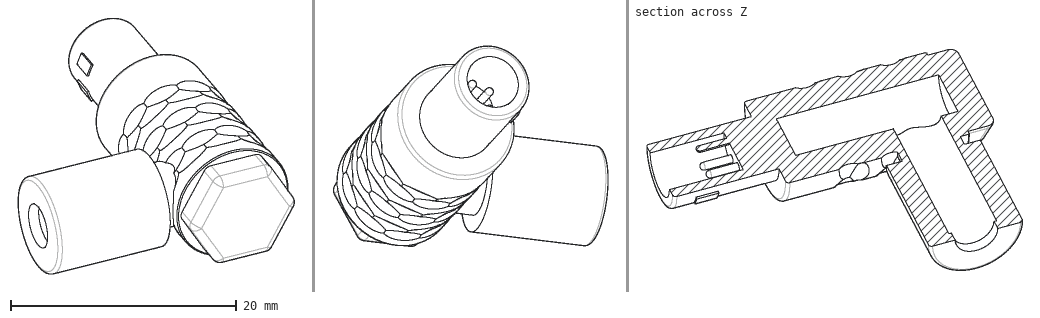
import cadquery as cq
import math

overall_length = 30.0
shoulder_x = 10.0
body_end_x = 27.35
plug_diameter = 7.0
body_diameter = 10.9
rim_round = 0.3
body_back_chamfer = 0.12

core_radius = 2.4
socket_depth = 7.0
cavity_start_x = 12.0

pin_count = 5
pin_radius = 0.35
pin_circle_radius = 1.4
pin_length = 3.0

key_start_x = 2.15
key_length = 2.1
key_width = 1.15
key_height = 0.15
key_half_angle = 22.7

dimples_per_ring = 10
dimple_radius = 1.5
dimple_depth = 0.33
first_ring_x = 15.9
ring_spacing = 1.05
ring_pair_count = 3
ring_pair_pitch = 4.02

hex_sides = 6
hex_across_flats = 9.0
hex_round = 0.78

arm_x = 23.52
arm_end_y = -17.28
arm_start_y = -6.42
arm_radius = 4.47
neck_radius = 2.97
outlet_radius = 2.0
outlet_lip = 1.0
arm_bore_radius = 2.25


def cylinder_x(radius, start_x, end_x):
    return cq.Workplane("YZ", origin=(start_x, 0, 0)).circle(radius).extrude(end_x - start_x)


def cylinder_y(radius, start_y, end_y):
    """Cylinder on the cable arm axis, from start_y towards -Y."""
    return cq.Workplane("XZ", origin=(arm_x, start_y, 0)).circle(radius).extrude(start_y - end_y)


def dimple_ring(ring_x, turn):
    """Ring of round bars lying tangent to the body, one for each dimple."""
    axis_distance = body_diameter / 2 - dimple_depth + dimple_radius
    half_bar = axis_distance * math.tan(math.pi / dimples_per_ring)
    bar = (
        cq.Workplane("XZ", origin=(ring_x, half_bar, axis_distance))
        .circle(dimple_radius)
        .extrude(2 * half_bar)
    )
    step = 360 / dimples_per_ring
    return [
        bar.rotate((0, 0, 0), (1, 0, 0), turn + i * step)
        for i in range(dimples_per_ring)
    ]


def gripped_body():
    body = cylinder_x(body_diameter / 2, shoulder_x, body_end_x)
    body = body.faces("<X").edges().fillet(rim_round)
    body = body.faces(">X").edges().chamfer(body_back_chamfer)
    half_step = 180 / dimples_per_ring
    for pair in range(ring_pair_count):
        ring_x = first_ring_x + pair * ring_pair_pitch
        bars = dimple_ring(ring_x, half_step) + dimple_ring(ring_x + ring_spacing, 0)
        for bar in bars:
            body = body.cut(bar)
    return body


def plug():
    shell = cylinder_x(plug_diameter / 2, 0, shoulder_x)
    shell = shell.faces("<X").edges().fillet(rim_round)
    key_top = plug_diameter / 2 + key_height
    key_root = (plug_diameter / 2 + core_radius) / 2
    key = (
        cq.Workplane("XY", origin=(key_start_x, -key_top, 0))
        .box(key_length, key_top - key_root, key_width, centered=(False, False, True))
    )
    for angle in (-key_half_angle, key_half_angle):
        shell = shell.union(key.rotate((0, 0, 0), (1, 0, 0), angle))
    return shell


def end_cap():
    corner_diameter = hex_across_flats / math.cos(math.pi / hex_sides)
    cap = (
        cq.Workplane("YZ", origin=(body_end_x, 0, 0))
        .polygon(hex_sides, corner_diameter)
        .extrude(overall_length - body_end_x)
    )
    return cap.edges("|X or >X").fillet(hex_round)


def cable_arm():
    neck = cylinder_y(neck_radius, 0, arm_start_y)
    arm = cylinder_y(arm_radius, arm_start_y, arm_end_y).faces("<Y").edges().fillet(rim_round)
    return arm.union(neck)


def contact_pin():
    tip_centre_x = socket_depth - pin_length + pin_radius
    tip = cq.Workplane("XY", origin=(tip_centre_x, 0, 0)).sphere(pin_radius)
    return cylinder_x(pin_radius, tip_centre_x, socket_depth).union(tip)


result = gripped_body().union(plug()).union(end_cap()).union(cable_arm())

lip_y = arm_end_y + outlet_lip
result = result.cut(cylinder_x(core_radius, 0, socket_depth))
result = result.cut(cylinder_x(core_radius, cavity_start_x, body_end_x))
result = result.cut(cylinder_y(arm_bore_radius, 0, lip_y))
result = result.cut(cylinder_y(outlet_radius, lip_y, arm_end_y))

for i in range(pin_count):
    placed_pin = contact_pin().translate((0, pin_circle_radius, 0))
    result = result.union(placed_pin.rotate((0, 0, 0), (1, 0, 0), i * 360 / pin_count))